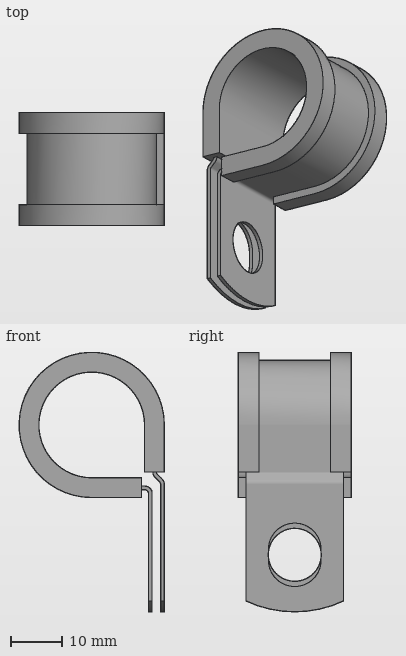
import cadquery as cq
import math

outer_radius = 14.2
inner_radius = 10.3
cushion_width = 22.1
flange_width = 4.1
groove_radius = 12.65
upper_end_z = -9.2
lower_end_x = 9.75

strap_thickness = 0.75
strap_width = 19.05
bend_inner_radius = 0.65
tab_bottom_z = -36.5
tab_end_radius = 22.4
lower_tab_outer_x = 11.8
hole_diameter = 10.3
upper_tab_slot_length = 12.35
hole_z = -25.35

groove_width = cushion_width - 2 * flange_width
strap_mid_radius = groove_radius - strap_thickness / 2
bend_mid_radius = bend_inner_radius + strap_thickness / 2
upper_tab_x = outer_radius - strap_thickness / 2
lower_tab_x = lower_tab_outer_x - strap_thickness / 2


def loop_band(inside, outside, width):
    """Band with a three-quarter ring and two straight ends, centred on Y = 0."""
    return (
        cq.Workplane("XZ", origin=(0, width / 2, 0))
        .moveTo(outside, upper_end_z)
        .lineTo(outside, 0)
        .threePointArc((-outside * math.sqrt(0.5), outside * math.sqrt(0.5)), (0, -outside))
        .lineTo(lower_end_x, -outside)
        .lineTo(lower_end_x, -inside)
        .lineTo(0, -inside)
        .threePointArc((-inside * math.sqrt(0.5), inside * math.sqrt(0.5)), (inside, 0))
        .lineTo(inside, upper_end_z)
        .close()
        .extrude(width)
    )


def bend_point(center, degrees):
    """Point on a strap bend, measured along the middle of the strap."""
    angle = math.radians(degrees)
    return (
        center[0] + bend_mid_radius * math.cos(angle),
        center[1] + bend_mid_radius * math.sin(angle),
    )


def bend(path, center, start, end):
    """Add a strap bend from the start angle to the end angle."""
    middle = bend_point(center, (start + end) / 2)
    return path.threePointArc(middle, bend_point(center, end))


def sweep_strap(path, plane, start):
    """Sweep the flat strap section along its middle line."""
    section_x = strap_thickness if plane == "XY" else strap_width
    section_y = strap_width if plane == "XY" else strap_thickness
    return cq.Workplane(plane, origin=start).rect(section_x, section_y).sweep(path)


def upper_tab():
    """Tab that jogs outward at 45 degrees and then hangs straight down."""
    jog = upper_tab_x - strap_mid_radius
    jog_drop = jog - 2 * bend_mid_radius * (1 - math.sqrt(0.5))
    first_center = (strap_mid_radius + bend_mid_radius, upper_end_z)
    second_center = (
        upper_tab_x - bend_mid_radius,
        upper_end_z - bend_mid_radius * math.sqrt(2) - jog_drop,
    )
    path = cq.Workplane("XZ").moveTo(strap_mid_radius, upper_end_z)
    path = bend(path, first_center, 180, 225)
    path = path.lineTo(*bend_point(second_center, 45))
    path = bend(path, second_center, 45, 0)
    path = path.lineTo(upper_tab_x, tab_bottom_z)
    return sweep_strap(path, "XY", (strap_mid_radius, 0, upper_end_z))


def lower_tab():
    """Tab that leaves the loop horizontally and turns straight down."""
    center = (lower_tab_x - bend_mid_radius, -strap_mid_radius - bend_mid_radius)
    path = cq.Workplane("XZ").moveTo(lower_end_x, -strap_mid_radius)
    path = path.lineTo(*bend_point(center, 90))
    path = bend(path, center, 90, 0)
    path = path.lineTo(lower_tab_x, tab_bottom_z)
    return sweep_strap(path, "YZ", (lower_end_x, 0, -strap_mid_radius))


def shape_tab(tab, opening):
    """Round the bottom end of a tab and cut its bolt opening."""
    half_width = strap_width / 2
    corner_z = tab_bottom_z + tab_end_radius - math.sqrt(tab_end_radius**2 - half_width**2)
    envelope = (
        cq.Workplane("YZ")
        .moveTo(-half_width, 0)
        .lineTo(-half_width, corner_z)
        .threePointArc((0, tab_bottom_z), (half_width, corner_z))
        .lineTo(half_width, 0)
        .close()
        .extrude(outer_radius)
    )
    return tab.intersect(envelope).cut(opening)


core = loop_band(inner_radius, groove_radius, cushion_width)
flanges = loop_band(inner_radius, outer_radius, cushion_width).cut(
    loop_band(inner_radius, outer_radius, groove_width)
)
cushion = core.union(flanges)

hole_plane = cq.Workplane("YZ").center(0, hole_z)
round_hole = hole_plane.circle(hole_diameter / 2).extrude(outer_radius)
slot = hole_plane.slot2D(upper_tab_slot_length, hole_diameter, 90).extrude(outer_radius)

result = cushion.union(shape_tab(upper_tab(), slot))
result = result.union(shape_tab(lower_tab(), round_hole))